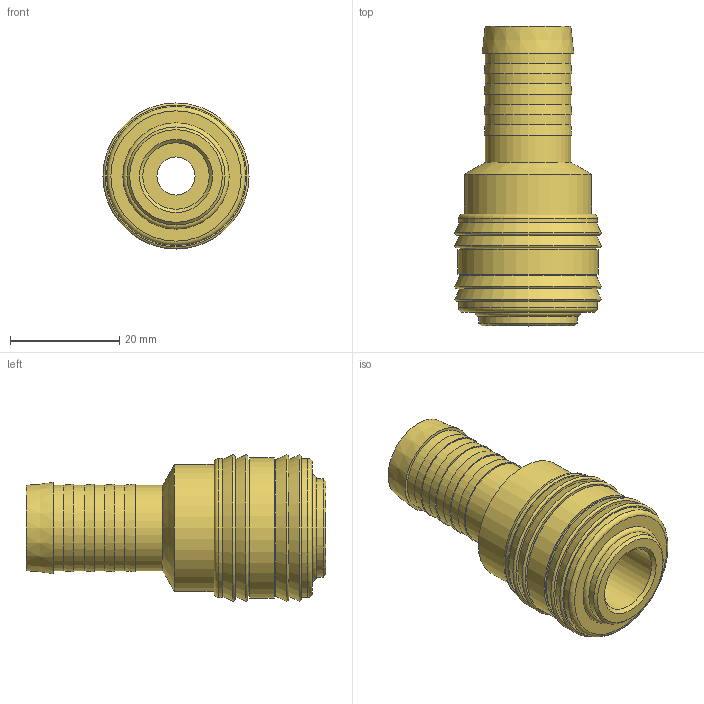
import cadquery as cq
import math

length = 55.0

nose_radius = 9.0
nose_chamfer = 0.5
collar_fillet = 0.75
collar_radius = nose_radius + collar_fillet

sleeve_start = 2.5
sleeve_end = 20.5
sleeve_radius = 12.75
sleeve_fillet = 0.8
band_start = 9.5
band_end = 14.0
band_radius = 12.85
groove_radius = 12.5

ridge_radius = 13.4
ridge_root_radius = 12.5
ridge_pitch = 2.35
ridge_lip_radius = 0.4
front_ridges_start = 4.5
rear_ridges_start = 14.3
ridges_per_group = 2

body_radius = 11.65
shoulder_end = 30.0
shoulder_angle = 30.0

tail_radius = 7.85
end_barb_length = 5.0
end_barb_radius = 8.4
barb_radius = 8.05
barb_start = 35.0
barb_count = 4

socket_radius = 6.1
socket_chamfer = 0.6
socket_depth = 25.0
passage_radius = 3.5

end_barb_start = length - end_barb_length
barb_pitch = (end_barb_start - barb_start) / barb_count
barb_cone_length = barb_pitch / 2
shoulder_start = shoulder_end - (body_radius - tail_radius) * math.tan(math.radians(shoulder_angle))


def revolve_about_y(profile):
    """Turn a closed (radius, Y) profile once around the Y axis."""
    return profile.close().revolve(360, (0, 0, 0), (0, 1, 0))


def round_to(profile, start, end, center, radius):
    """Add the convex quarter arc that joins two points around a center."""
    diagonal = radius * math.sqrt(0.5)
    side = start[1] + end[1] - 2 * center[1]
    middle = (center[0] + diagonal, center[1] + math.copysign(diagonal, side))
    return profile.lineTo(*start).threePointArc(middle, end)


def add_ridges(profile, first_start):
    """Add one group of grip ridges, in order of rising Y."""
    for index in range(ridges_per_group):
        start = first_start + index * ridge_pitch
        lip_base_radius = ridge_radius - ridge_lip_radius
        lip_end = start + ridge_lip_radius
        profile = round_to(
            profile,
            (lip_base_radius, start),
            (ridge_radius, lip_end),
            (lip_base_radius, lip_end),
            ridge_lip_radius,
        )
        profile = profile.lineTo(ridge_root_radius, start + ridge_pitch)
    return profile


def make_nose():
    collar_start = sleeve_start - collar_fillet
    profile = (
        cq.Workplane("XY")
        .moveTo(0, 0)
        .lineTo(nose_radius - nose_chamfer, 0)
        .lineTo(nose_radius, nose_chamfer)
    )
    profile = round_to(
        profile,
        (nose_radius, collar_start),
        (collar_radius, sleeve_start),
        (nose_radius, sleeve_start),
        collar_fillet,
    )
    return revolve_about_y(profile.lineTo(0, sleeve_start))


def make_sleeve():
    flat_radius = sleeve_radius - sleeve_fillet
    front_edge = sleeve_start + sleeve_fillet
    rear_edge = sleeve_end - sleeve_fillet
    profile = cq.Workplane("XY").moveTo(0, sleeve_start)
    profile = round_to(
        profile,
        (flat_radius, sleeve_start),
        (sleeve_radius, front_edge),
        (flat_radius, front_edge),
        sleeve_fillet,
    )
    profile = add_ridges(profile.lineTo(sleeve_radius, front_ridges_start), front_ridges_start)
    profile = (
        profile.lineTo(groove_radius, band_start)
        .lineTo(band_radius, band_start)
        .lineTo(band_radius, band_end)
        .lineTo(groove_radius, band_end)
        .lineTo(groove_radius, rear_ridges_start)
    )
    profile = add_ridges(profile, rear_ridges_start)
    profile = round_to(
        profile.lineTo(sleeve_radius, rear_ridges_start + ridges_per_group * ridge_pitch),
        (sleeve_radius, rear_edge),
        (flat_radius, sleeve_end),
        (flat_radius, rear_edge),
        sleeve_fillet,
    )
    return revolve_about_y(profile.lineTo(0, sleeve_end))


def make_body_and_tail():
    profile = (
        cq.Workplane("XY")
        .moveTo(0, sleeve_end)
        .lineTo(body_radius, sleeve_end)
        .lineTo(body_radius, shoulder_start)
        .lineTo(tail_radius, shoulder_end)
    )
    for index in range(barb_count):
        start = barb_start + index * barb_pitch
        profile = (
            profile.lineTo(tail_radius, start)
            .lineTo(barb_radius, start)
            .lineTo(tail_radius, start + barb_cone_length)
        )
    profile = (
        profile.lineTo(tail_radius, end_barb_start)
        .lineTo(end_barb_radius, end_barb_start)
        .lineTo(tail_radius, length)
        .lineTo(0, length)
    )
    return revolve_about_y(profile)


def make_passage():
    profile = (
        cq.Workplane("XY")
        .moveTo(0, 0)
        .lineTo(socket_radius + socket_chamfer, 0)
        .lineTo(socket_radius, socket_chamfer)
        .lineTo(socket_radius, socket_depth)
        .lineTo(passage_radius, socket_depth)
        .lineTo(passage_radius, length)
        .lineTo(0, length)
    )
    return revolve_about_y(profile)


result = make_nose().union(make_sleeve()).union(make_body_and_tail()).cut(make_passage())